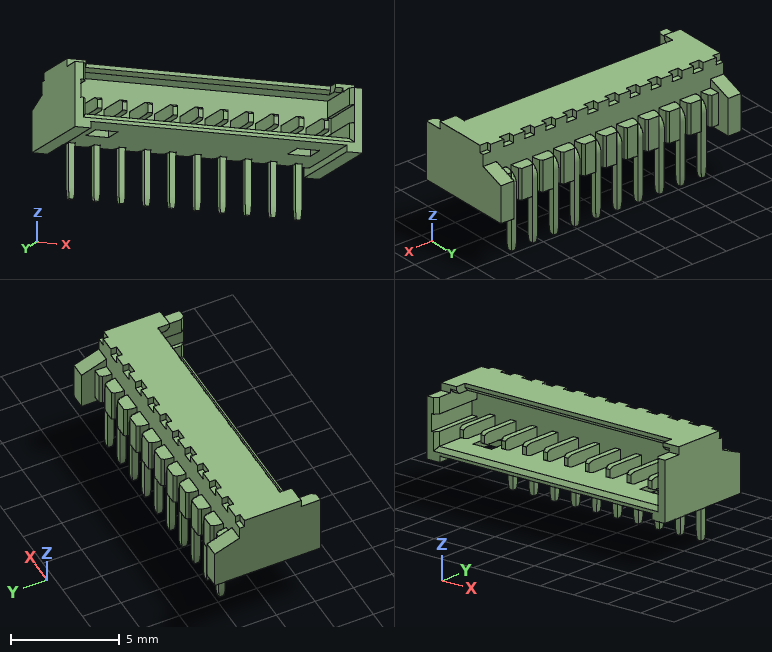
import cadquery as cq


LENGTH = 14.25
DEPTH = 5.5
HEIGHT = 3.48
FLOOR_BOTTOM = 0.31
FOOT_WIDTH = 0.78
REAR_WALL_Y = 4.2
LEG_TOP_FRONT = 2.47
LEG_TOP_REAR = 2.0

CAVITY_WIDTH = 13.08
CAVITY_FLOOR = 0.7
CAVITY_CEILING = 3.09
CAVITY_BACK_Y = 2.95
MOUTH_FLARE_FLOOR = 0.21
MOUTH_FLARE_SIDE = 0.17
MOUTH_FLARE_DEPTH = 0.21
GROOVE_BOTTOM = 1.42
GROOVE_TOP = 2.28
LEFT_GROOVE_X = -6.84
RIGHT_GROOVE_X = CAVITY_WIDTH / 2 + MOUTH_FLARE_SIDE

ROOF_TAB_Y = 1.01
ROOF_EDGE_Y = 1.62
ROOF_OPENING_WIDTH = 12.34
CEILING_CHAMFER = 0.19

WINDOW_WIDTH = 1.11
WINDOW_FRONT_Y = 1.45
WINDOW_BACK_Y = 2.64

PIN_RECESS_WIDTH = 0.57
PIN_RECESS_DEPTH = 0.3
CORNER_RECESS_WIDTH = 0.44
CORNER_RECESS_DEPTH = 0.24

COMB_REAR_Y = 4.8
COMB_TOP = LEG_TOP_REAR
COMB_LIP_WIDTH = 0.63
COMB_LIP_Y = 4.66
COMB_THROAT_WIDTH = 0.43
COMB_TAPER_Y = 4.42

PIN_COUNT = 10
PIN_ROW_SPAN = 11.25
PIN_PITCH = PIN_ROW_SPAN / (PIN_COUNT - 1)
PIN_XS = [i * PIN_PITCH - PIN_ROW_SPAN / 2 for i in range(PIN_COUNT)]
PIN_WIDTH = 0.31
PIN_TIP_WIDTH = 0.23
BLADE_BOTTOM = 1.11
BLADE_TOP = 1.71
BLADE_TIP_BOTTOM = 1.18
BLADE_TIP_TOP = 1.58
BLADE_TIP_Y = 0.73
BLADE_TAPER = 0.28
POST_FRONT_Y = 4.26
POST_REAR_Y = 4.6
POST_BOTTOM = -2.32
POST_TAPER = 0.5
POST_TIP_INSET = 0.04
BEND_RADIUS = 0.63


def box(x0, x1, y0, y1, z0, z1):
    """Axis-aligned box between the given limits."""
    return cq.Workplane("XY").box(x1 - x0, y1 - y0, z1 - z0, centered=False).translate((x0, y0, z0))


def side_prism(points, width):
    """Prism with a (y, z) outline, centred on x = 0."""
    return cq.Workplane("YZ").polyline(points).close().extrude(width / 2, both=True)


def shell():
    """Solid housing with its two rear legs, open underneath between the feet."""
    half = LENGTH / 2
    body = side_prism(
        [
            (0, 0),
            (DEPTH, 0),
            (DEPTH, LEG_TOP_REAR),
            (REAR_WALL_Y, LEG_TOP_FRONT),
            (REAR_WALL_Y, HEIGHT),
            (ROOF_TAB_Y, HEIGHT),
            (ROOF_TAB_Y, CAVITY_CEILING),
            (0, CAVITY_CEILING),
        ],
        LENGTH,
    )
    foot_inner = half - FOOT_WIDTH
    under_floor = box(-foot_inner, foot_inner, 0, DEPTH, 0, FLOOR_BOTTOM)
    between_legs = box(-foot_inner, foot_inner, REAR_WALL_Y, DEPTH, 0, HEIGHT)
    return body.cut(under_floor).cut(between_legs)


def cavity():
    """Mating cavity with its flared mouth and one groove in each side wall."""
    half = CAVITY_WIDTH / 2
    mouth_half = half + MOUTH_FLARE_SIDE
    mouth_floor = CAVITY_FLOOR - MOUTH_FLARE_FLOOR
    room = box(-half, half, 0, CAVITY_BACK_Y, CAVITY_FLOOR, CAVITY_CEILING)
    flare = side_prism(
        [
            (0, mouth_floor),
            (MOUTH_FLARE_DEPTH, CAVITY_FLOOR),
            (MOUTH_FLARE_DEPTH, CAVITY_CEILING),
            (0, CAVITY_CEILING),
        ],
        2 * mouth_half,
    )
    flare_plan = (
        cq.Workplane("XY")
        .polyline(
            [
                (-mouth_half, 0),
                (mouth_half, 0),
                (half, MOUTH_FLARE_DEPTH),
                (-half, MOUTH_FLARE_DEPTH),
            ]
        )
        .close()
        .extrude(HEIGHT)
    )
    grooves = box(LEFT_GROOVE_X, RIGHT_GROOVE_X, 0, CAVITY_BACK_Y, GROOVE_BOTTOM, GROOVE_TOP)
    return room.union(flare.intersect(flare_plan)).union(grooves)


def roof_opening():
    """Cut-back of the roof between its tabs, and the chamfers under the roof front edges."""
    half = ROOF_OPENING_WIDTH / 2
    opening = box(-half, half, 0, ROOF_EDGE_Y, CAVITY_CEILING, HEIGHT)
    for edge_y, width in ((ROOF_TAB_Y, CAVITY_WIDTH), (ROOF_EDGE_Y, ROOF_OPENING_WIDTH)):
        chamfer = side_prism(
            [
                (edge_y, CAVITY_CEILING),
                (edge_y + CEILING_CHAMFER, CAVITY_CEILING),
                (edge_y, CAVITY_CEILING + CEILING_CHAMFER),
            ],
            width,
        )
        opening = opening.union(chamfer)
    return opening


def floor_windows():
    """Through windows in the floor, centred on the first and last pin gaps."""
    gap_x = (PIN_ROW_SPAN - PIN_PITCH) / 2
    windows = cq.Workplane("XY")
    for x in (-gap_x, gap_x):
        half = WINDOW_WIDTH / 2
        windows = windows.add(box(x - half, x + half, WINDOW_FRONT_Y, WINDOW_BACK_Y, 0, CAVITY_FLOOR))
    return windows.combine()


def roof_recesses():
    """Recesses in the rear roof edge: one above each pin and one at each end."""
    recesses = cq.Workplane("XY")
    for x in PIN_XS:
        half = PIN_RECESS_WIDTH / 2
        front_y = REAR_WALL_Y - PIN_RECESS_DEPTH
        recesses = recesses.add(box(x - half, x + half, front_y, REAR_WALL_Y, CAVITY_CEILING, HEIGHT))
    corner_x = LENGTH / 2 - CORNER_RECESS_WIDTH
    front_y = REAR_WALL_Y - CORNER_RECESS_DEPTH
    for x0, x1 in ((-LENGTH / 2, -corner_x), (corner_x, LENGTH / 2)):
        recesses = recesses.add(box(x0, x1, front_y, REAR_WALL_Y, CAVITY_CEILING, HEIGHT))
    return recesses.combine()


def comb():
    """Blocks behind the rear wall, split by a slot that widens to the rear at each pin."""
    half = LENGTH / 2 - FOOT_WIDTH
    blocks = box(-half, half, REAR_WALL_Y, COMB_REAR_Y, FLOOR_BOTTOM, COMB_TOP)
    half_outline = [
        (0, REAR_WALL_Y),
        (PIN_WIDTH / 2, REAR_WALL_Y),
        (PIN_WIDTH / 2, COMB_TAPER_Y),
        (COMB_THROAT_WIDTH / 2, COMB_LIP_Y),
        (COMB_LIP_WIDTH / 2, COMB_REAR_Y),
        (0, COMB_REAR_Y),
    ]
    slot = cq.Workplane("XY").polyline(half_outline).mirrorY().extrude(HEIGHT)
    for x in PIN_XS:
        blocks = blocks.cut(slot.translate((x, 0, 0)))
    return blocks


def taper_radius(length, inset):
    """Radius of an arc that leaves a flank tangentially and moves in by inset over length."""
    return (length**2 + inset**2) / (2 * inset)


def tapered_strip(plane, tip, taper, end):
    """Pin-wide strip along a plane's second axis, with flanks curving in to a narrow tip."""
    half = PIN_WIDTH / 2
    tip_half = PIN_TIP_WIDTH / 2
    return (
        cq.Workplane(plane)
        .moveTo(0, end)
        .lineTo(half, end)
        .lineTo(half, tip + taper)
        .tangentArcPoint((tip_half, tip), relative=False)
        .lineTo(0, tip)
        .mirrorY()
        .extrude(DEPTH, both=True)
    )


def pin():
    """Right-angle pin at x = 0: a flat blade in the cavity bent down into a solder post."""
    blade_shoulder_y = BLADE_TIP_Y + BLADE_TAPER
    post_shoulder_z = POST_BOTTOM + POST_TAPER
    side = (
        cq.Workplane("YZ")
        .moveTo(POST_FRONT_Y + POST_TIP_INSET, POST_BOTTOM)
        .radiusArc((POST_FRONT_Y, post_shoulder_z), taper_radius(POST_TAPER, POST_TIP_INSET))
        .lineTo(POST_FRONT_Y, BLADE_BOTTOM)
        .lineTo(blade_shoulder_y, BLADE_BOTTOM)
        .tangentArcPoint((BLADE_TIP_Y, BLADE_TIP_BOTTOM), relative=False)
        .lineTo(BLADE_TIP_Y, BLADE_TIP_TOP)
        .radiusArc((blade_shoulder_y, BLADE_TOP), taper_radius(BLADE_TAPER, BLADE_TOP - BLADE_TIP_TOP))
        .lineTo(POST_REAR_Y - BEND_RADIUS, BLADE_TOP)
        .tangentArcPoint((POST_REAR_Y, BLADE_TOP - BEND_RADIUS), relative=False)
        .lineTo(POST_REAR_Y, post_shoulder_z)
        .tangentArcPoint((POST_REAR_Y - POST_TIP_INSET, POST_BOTTOM), relative=False)
        .close()
        .extrude(PIN_WIDTH / 2, both=True)
    )
    blade_plan = tapered_strip("XY", BLADE_TIP_Y, BLADE_TAPER, DEPTH)
    post_front = tapered_strip("XZ", POST_BOTTOM, POST_TAPER, HEIGHT)
    return side.intersect(blade_plan).intersect(post_front)


housing = shell().cut(cavity()).cut(roof_opening()).cut(floor_windows()).cut(roof_recesses())
result = housing.union(comb())
single_pin = pin()
for pin_x in PIN_XS:
    result = result.union(single_pin.translate((pin_x, 0, 0)))